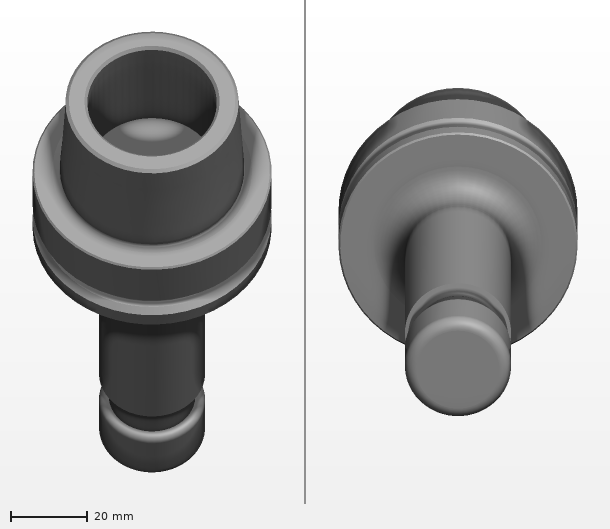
import cadquery as cq
import math

total_height = 152.0
flange_top = 120.1
flange_height = 26.0
flange_bottom = flange_top - flange_height

taper_top_radius = 22.8
taper_slope = 1 / 20
taper_rim_inset = 0.9
taper_rim_height = 0.6
taper_base = 121.9
taper_base_radius = taper_top_radius + (total_height - taper_rim_height - taper_base) * taper_slope
taper_band_height = 0.9
relief_radius = 23.5
relief_fillet = 0.9
recess_radius = 26.3
recess_depth = 0.3

bore_radius = 17.0
bore_bevel = 0.8
bore_depth = total_height - flange_top

flange_radius = 31.5
flange_bevel = 0.5
groove_radius = 27.7
groove_top = 103.7
groove_bottom = 100.0
groove_fillet = 0.5
groove_top_lip_radius = 29.0
groove_top_bevel_height = 1.8
groove_bottom_lip_radius = 29.6
groove_bottom_bevel_height = 1.2

shank_radius = 14.0
shank_fillet = 8.0
shank_bottom = 27.7
shoulder_drop = 0.3
neck_radius = 11.4
neck_relief_radius = 11.0
neck_relief_fillet = 1.0
neck_relief_bottom = 25.0
head_top = 17.2
head_top_fillet = 1.8
head_bottom_fillet = 3.0

DIAGONAL = math.sqrt(0.5)


def round_to(profile, start, end, center):
    """Add a quarter-circle arc from start to end around center."""
    radius = abs(start[0] - center[0]) + abs(start[1] - center[1])
    side_r = math.copysign(1, start[0] + end[0] - 2 * center[0])
    side_z = math.copysign(1, start[1] + end[1] - 2 * center[1])
    middle = (center[0] + side_r * radius * DIAGONAL, center[1] + side_z * radius * DIAGONAL)
    return profile.lineTo(*start).threePointArc(middle, end)


def add_head(profile):
    inner = shank_radius - head_bottom_fillet
    profile = round_to(
        profile,
        (inner, 0),
        (shank_radius, head_bottom_fillet),
        (inner, head_bottom_fillet),
    )
    inner = shank_radius - head_top_fillet
    return round_to(
        profile,
        (shank_radius, head_top - head_top_fillet),
        (inner, head_top),
        (inner, head_top - head_top_fillet),
    )


def add_neck_and_shank(profile):
    shoulder = shank_bottom - shoulder_drop
    profile = profile.lineTo(neck_radius, head_top).lineTo(neck_radius, neck_relief_bottom)
    fillet_center = (neck_relief_radius + neck_relief_fillet, shoulder - neck_relief_fillet)
    profile = round_to(
        profile,
        (neck_relief_radius, fillet_center[1]),
        (fillet_center[0], shoulder),
        fillet_center,
    )
    profile = profile.lineTo(shank_radius, shank_bottom)
    outer = shank_radius + shank_fillet
    return round_to(
        profile,
        (shank_radius, flange_bottom - shank_fillet),
        (outer, flange_bottom),
        (outer, flange_bottom - shank_fillet),
    )


def add_flange(profile):
    profile = (
        profile.lineTo(flange_radius - flange_bevel, flange_bottom)
        .lineTo(flange_radius, flange_bottom + flange_bevel)
        .lineTo(flange_radius, groove_bottom - groove_bottom_bevel_height)
        .lineTo(groove_bottom_lip_radius, groove_bottom)
    )
    inner = groove_radius + groove_fillet
    lower = groove_bottom + groove_fillet
    upper = groove_top - groove_fillet
    profile = round_to(profile, (inner, groove_bottom), (groove_radius, lower), (inner, lower))
    profile = round_to(profile, (groove_radius, upper), (inner, groove_top), (inner, upper))
    return (
        profile.lineTo(groove_top_lip_radius, groove_top)
        .lineTo(flange_radius, groove_top + groove_top_bevel_height)
        .lineTo(flange_radius, flange_top - flange_bevel)
        .lineTo(flange_radius - flange_bevel, flange_top)
    )


def add_taper(profile):
    recess_floor = flange_top - recess_depth
    profile = round_to(
        profile.lineTo(recess_radius, flange_top),
        (relief_radius + relief_fillet, recess_floor),
        (relief_radius, recess_floor + relief_fillet),
        (relief_radius + relief_fillet, recess_floor + relief_fillet),
    )
    band_bottom = taper_base - taper_band_height
    return (
        profile.lineTo(taper_base_radius, band_bottom)
        .lineTo(taper_base_radius, taper_base)
        .lineTo(taper_top_radius, total_height - taper_rim_height)
        .lineTo(taper_top_radius - taper_rim_inset, total_height)
    )


def add_bore(profile):
    bore_floor = total_height - bore_depth
    return (
        profile.lineTo(bore_radius + bore_bevel, total_height)
        .lineTo(bore_radius, total_height - bore_bevel)
        .lineTo(bore_radius, bore_floor)
        .lineTo(0, bore_floor)
    )


half_section = cq.Workplane("XZ").moveTo(0, 0)
for add_section in (add_head, add_neck_and_shank, add_flange, add_taper, add_bore):
    half_section = add_section(half_section)

result = half_section.close().revolve(360, (0, 0), (0, 1))